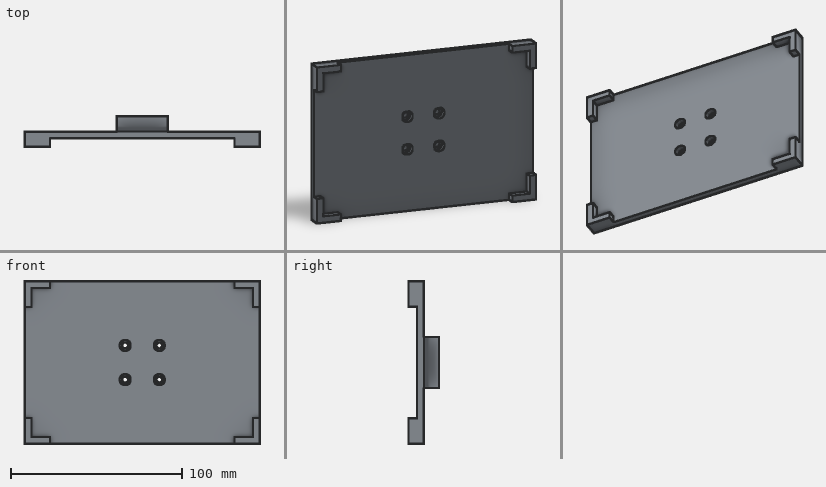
import cadquery as cq

width = 137.5
depth = 18.0
height = 95.0

block_side = 30.0
block_height = depth / 2

plate_thickness = 4.0
lip_height = depth - block_height - plate_thickness
lip_length = 15.0
lip_wall = 4.0

hole_spacing = 20.0
hole_diameter = 3.5
counterbore_diameter = 6.5
counterbore_depth = plate_thickness

lip_front = -depth / 2
plate_front = lip_front + lip_height
plate_back = plate_front + plate_thickness


def box_between_y(size_x, size_z, y_start, length):
    """Box centred in X and Z that runs toward +Y from y_start."""
    return cq.Workplane("XY").box(size_x, length, size_z).translate((0, y_start + length / 2, 0))


def corner_lips():
    """Four L-shaped lips, left from a rim by cutting away its middle stretches."""
    rim = box_between_y(width, height, lip_front, lip_height)
    pocket = box_between_y(width - 2 * lip_wall, height - 2 * lip_wall, lip_front, lip_height)
    gap_x = box_between_y(width - 2 * lip_length, height, lip_front, lip_height)
    gap_z = box_between_y(width, height - 2 * lip_length, lip_front, lip_height)
    return rim.cut(pocket).cut(gap_x).cut(gap_z)


plate = box_between_y(width, height, plate_front, plate_thickness)
block = box_between_y(block_side, block_side, plate_back, block_height)
body = plate.union(block).union(corner_lips())

holes = cq.Workplane("XZ", origin=(0, plate_front, 0)).rarray(hole_spacing, hole_spacing, 2, 2)
through_holes = holes.circle(hole_diameter / 2).extrude(-(plate_thickness + block_height))
counterbores = holes.circle(counterbore_diameter / 2).extrude(-counterbore_depth)

result = body.cut(through_holes).cut(counterbores)